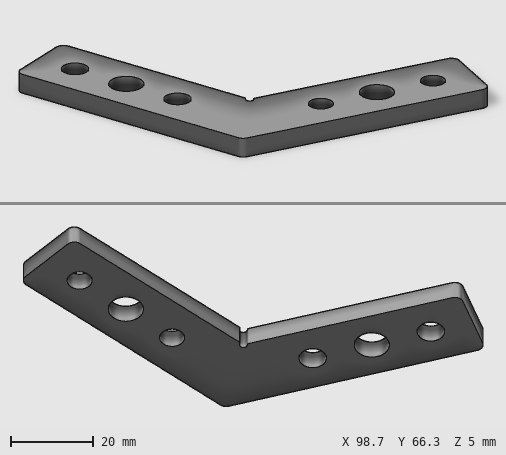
import cadquery as cq
import math

thickness = 5.0
arm_width = 19.4
arm_length = 60.7
bend_angle = 60.0
corner_radius = 2.1
relief_radius = 1.0
relief_blend_radius = 0.5
hole_centre = 35.0
hole_pitch = 15.0
large_diameter = 8.5
flat_arm_small_diameter = 6.6
raised_arm_small_diameter = 6.0

half_width = arm_width / 2
miter_offset = half_width * math.tan(math.radians(bend_angle / 2))
bend_cos = math.cos(math.radians(bend_angle))
bend_sin = math.sin(math.radians(bend_angle))

elbow_x = arm_length
elbow_y = half_width
inner_corner = (elbow_x - miter_offset, arm_width)
outer_corner = (elbow_x + miter_offset, 0)


def on_raised_arm(along, across=0):
    """Point on the raised arm: distance from the elbow and offset to the left."""
    return (
        elbow_x + along * bend_cos - across * bend_sin,
        elbow_y + along * bend_sin + across * bend_cos,
    )


def on_flat_arm(along):
    """Point on the flat arm's centreline at a distance from the elbow."""
    return (elbow_x - along, elbow_y)


def through_cylinder(centre, diameter):
    return cq.Workplane("XY").center(*centre).circle(diameter / 2).extrude(thickness)


plate = (
    cq.Workplane("XY")
    .polyline([
        (0, 0),
        outer_corner,
        on_raised_arm(arm_length, -half_width),
        on_raised_arm(arm_length, half_width),
        inner_corner,
        (0, arm_width),
    ])
    .close()
    .extrude(thickness)
)

inner_edge = cq.selectors.NearestToPointSelector((*inner_corner, thickness / 2))
vertical_edges = cq.selectors.ParallelDirSelector(cq.Vector(0, 0, 1))
outer_edges = cq.selectors.SubtractSelector(vertical_edges, inner_edge)
plate = plate.edges(outer_edges).fillet(corner_radius)
plate = plate.cut(through_cylinder(inner_corner, 2 * relief_radius))

mouth_edges = (
    (inner_corner[0] - relief_radius, arm_width),
    (inner_corner[0] + relief_radius * bend_cos, arm_width + relief_radius * bend_sin),
)
for mouth_edge in mouth_edges:
    nearest_edge = cq.selectors.NearestToPointSelector((*mouth_edge, thickness / 2))
    plate = plate.edges("|Z").edges(nearest_edge).fillet(relief_blend_radius)

for point_on_arm, small_diameter in (
    (on_flat_arm, flat_arm_small_diameter),
    (on_raised_arm, raised_arm_small_diameter),
):
    plate = plate.cut(through_cylinder(point_on_arm(hole_centre), large_diameter))
    for side in (-1, 1):
        centre = point_on_arm(hole_centre + side * hole_pitch)
        plate = plate.cut(through_cylinder(centre, small_diameter))

result = plate